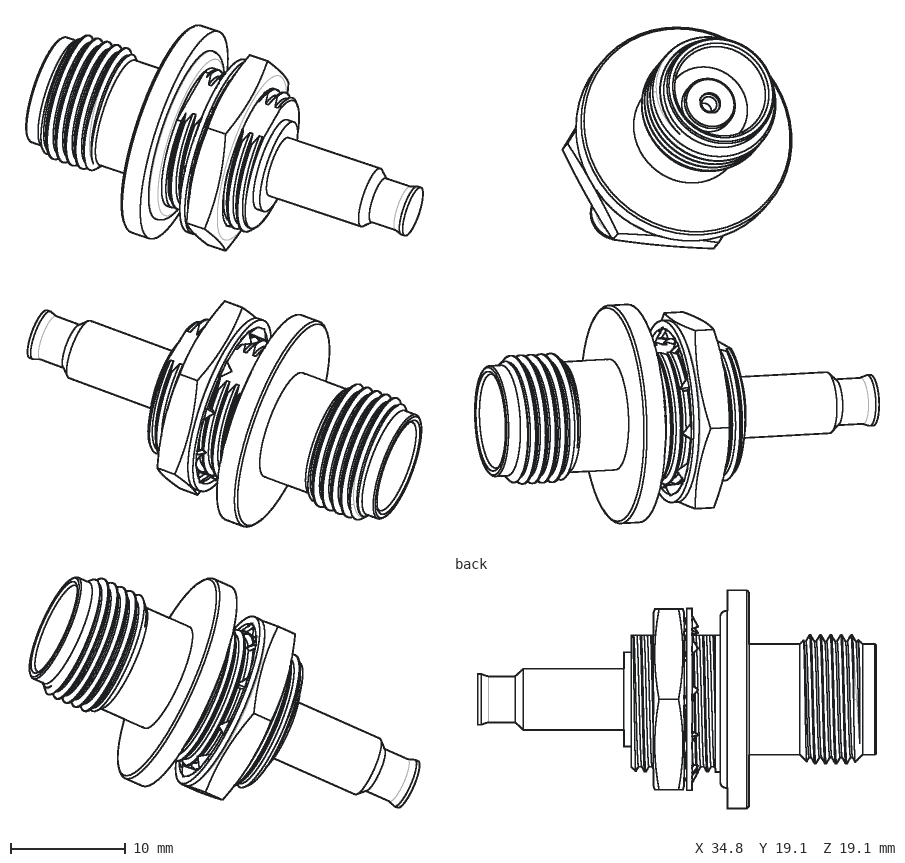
import cadquery as cq
import math


nose_end = 1.2
front_thread_end = 6.67
flange_front = 11.1
flange_rear = 13.0
plain_neck_end = 14.05
rear_thread_end = 21.37
shoulder_end = 22.0
tube_end = 30.75
cone_end = 31.5
flare_start = 33.8
flare_end = 34.45
overall_length = 34.75

barrel_radius = 9.65 / 2
flange_radius = 19.05 / 2
shoulder_radius = 8.25 / 2
tube_radius = 5.35 / 2
stem_radius = 4.03 / 2
flare_radius = 4.45 / 2
nose_chamfer = 0.15
flange_chamfer = 0.2

thread_pitch = 0.9
flank_half_angle = 30.0
crest_flat = 0.1
front_thread_crest = 11.22 / 2
front_thread_root = 5.07
front_thread_crest_at = 1.95
neck_radius = 12.7 / 2
rear_thread_crest = 6.32
rear_thread_root = 5.87
rear_thread_crest_at = 14.95
root_sink = 0.1
trim_clearance = 0.17
rear_flat_height = 5.6

socket_depth = 4.52
socket_floor_radius = 3.65
socket_mouth_radius = 4.1
mouth_chamfer = 0.25

insert_radius = 4.6 / 2
insert_face_radius = 4.3 / 2
insert_projection = 1.05
insert_seat_depth = 4.17
contact_recess_radius = 1.85 / 2
contact_recess_depth = 0.35
contact_hole_radius = 1.35 / 2
contact_hole_depth = 2.1

gasket_thickness = 0.63
gasket_radius = 15.45 / 2
gasket_round = 0.55

washer_front = 16.05
washer_thickness = 0.5
washer_radius = 15.88 / 2
washer_bore_radius = 7.23
tooth_count = 10
tooth_width = 1.88
tooth_thickness = 0.45
tooth_tip_radius = 6.4
tooth_root_radius = 7.33
tooth_twist = 40.0
tooth_first_angle = 2.5

nut_front = 16.75
nut_thickness = 2.68
nut_across_flats = 15.78
nut_bore_radius = rear_thread_crest
nut_chamfer_length = 0.5
nut_face_radius = 7.55


def cylinder(start, end, radius):
    """Cylinder about the X axis from X = start to X = end."""
    return cq.Workplane("YZ", origin=(start, 0, 0)).circle(radius).extrude(end - start)


def revolve_about_x(profile):
    """Solid of revolution of an XY outline about the X axis."""
    return profile.close().revolve(360, (0, 0, 0), (1, 0, 0))


def thread_helix(first_x, turns, radius):
    """Right-handed helix about the X axis that starts on the +Y side at X = first_x."""
    along_z = cq.Wire.makeHelix(thread_pitch, turns * thread_pitch, radius)
    along_x = along_z.rotate(cq.Vector(0, 0, 0), cq.Vector(1, 1, 1), 120)
    return along_x.translate(cq.Vector(first_x, 0, 0))


def thread_ridge(start, end, root_radius, crest_radius, crest_at):
    """Helical ridge reaching past start and end, with a crest at X = crest_at on the +Y side."""
    base_radius = root_radius - root_sink
    crest_half = crest_flat / 2
    base_half = crest_half + (crest_radius - base_radius) * math.tan(math.radians(flank_half_angle))
    first_crest = crest_at - thread_pitch * math.ceil((crest_at - start) / thread_pitch + 0.5)
    turns = math.ceil((end - first_crest) / thread_pitch + 0.5)
    corners = [
        (-base_half, base_radius),
        (-crest_half, crest_radius),
        (crest_half, crest_radius),
        (base_half, base_radius),
    ]
    edges = [thread_helix(first_crest + offset, turns, radius) for offset, radius in corners]
    sides = [
        cq.Face.makeRuledSurface(edge, edges[(index + 1) % len(edges)])
        for index, edge in enumerate(edges)
    ]
    start_outline = cq.Wire.makePolygon([edge.startPoint() for edge in edges], close=True)
    end_outline = cq.Wire.makePolygon([edge.endPoint() for edge in edges], close=True)
    caps = [cq.Face.makeFromWires(start_outline), cq.Face.makeFromWires(end_outline)]
    faces = [face for shape in sides + caps for face in shape.Faces()]
    return cq.Workplane(cq.Solid.makeSolid(cq.Shell.makeShell(faces)))


def threaded_rod(start, end, root_radius, crest_radius, crest_at):
    """Thread on a core that reaches past start and end, to be trimmed to its end shapes."""
    overrun = 3 * thread_pitch
    core = cylinder(start - overrun, end + overrun, root_radius)
    return core.union(thread_ridge(start, end, root_radius, crest_radius, crest_at))


def front_thread():
    """Coupling thread, sloping at 45 degrees to the barrel at both ends."""
    rise = front_thread_crest + trim_clearance - barrel_radius
    envelope = revolve_about_x(
        cq.Workplane("XY")
        .moveTo(nose_end, 0)
        .lineTo(nose_end, barrel_radius)
        .lineTo(nose_end + rise, barrel_radius + rise)
        .lineTo(front_thread_end - rise, barrel_radius + rise)
        .lineTo(front_thread_end, barrel_radius)
        .lineTo(front_thread_end, 0)
    )
    rod = threaded_rod(
        nose_end, front_thread_end, front_thread_root, front_thread_crest, front_thread_crest_at
    )
    return rod.intersect(envelope)


def rear_thread():
    """Panel thread behind the flange, with a plain neck, an end chamfer and a flat on its +Z side."""
    rise = rear_thread_crest + trim_clearance - rear_thread_root
    envelope = revolve_about_x(
        cq.Workplane("XY")
        .moveTo(plain_neck_end, 0)
        .lineTo(plain_neck_end, rear_thread_root + rise)
        .lineTo(rear_thread_end - rise, rear_thread_root + rise)
        .lineTo(rear_thread_end, rear_thread_root)
        .lineTo(rear_thread_end, 0)
    )
    rod = threaded_rod(
        plain_neck_end, rear_thread_end, rear_thread_root, rear_thread_crest, rear_thread_crest_at
    )
    neck = cylinder(flange_rear, plain_neck_end, neck_radius)
    flat_start = flange_rear + gasket_thickness
    above_flat = cq.Workplane("XY").box(
        rear_thread_end - flat_start, flange_radius, flange_radius, centered=(False, True, False)
    ).translate((flat_start, 0, rear_flat_height))
    return rod.intersect(envelope).union(neck).cut(above_flat)


def socket_cavity():
    """Tapered mating socket and the seat of the insert in its floor."""
    seat_end = socket_depth + insert_seat_depth
    return revolve_about_x(
        cq.Workplane("XY")
        .moveTo(0, 0)
        .lineTo(0, socket_mouth_radius + mouth_chamfer)
        .lineTo(mouth_chamfer, socket_mouth_radius)
        .lineTo(socket_depth, socket_floor_radius)
        .lineTo(socket_depth, insert_radius)
        .lineTo(seat_end, insert_radius)
        .lineTo(seat_end, 0)
    )


def tail():
    """Rear shoulder, crimp tube and the stem with its flared end."""
    return revolve_about_x(
        cq.Workplane("XY")
        .moveTo(rear_thread_end, 0)
        .lineTo(rear_thread_end, shoulder_radius)
        .lineTo(shoulder_end, shoulder_radius)
        .lineTo(shoulder_end, tube_radius)
        .lineTo(tube_end, tube_radius)
        .lineTo(cone_end, stem_radius)
        .lineTo(flare_start, stem_radius)
        .lineTo(flare_end, flare_radius)
        .lineTo(overall_length, flare_radius)
        .lineTo(overall_length, 0)
    )


def make_shell():
    nose = cylinder(0, nose_end, barrel_radius).faces("<X").chamfer(nose_chamfer)
    barrel = cylinder(front_thread_end, flange_front, barrel_radius)
    flange = cylinder(flange_front, flange_rear, flange_radius).faces("<X").chamfer(flange_chamfer)
    shell = nose
    for section in (front_thread(), barrel, flange, rear_thread(), tail()):
        shell = shell.union(section)
    return shell.cut(socket_cavity())


def make_insert():
    """Chamfered dielectric core with a stepped blind hole for the contact."""
    front = socket_depth - insert_projection
    rim_chamfer = insert_radius - insert_face_radius
    core = cylinder(front, socket_depth + insert_seat_depth, insert_radius)
    core = core.faces("<X").chamfer(rim_chamfer)
    recess = cylinder(front, front + contact_recess_depth, contact_recess_radius)
    hole = cylinder(front, front + contact_hole_depth, contact_hole_radius)
    return core.cut(recess).cut(hole)


def make_gasket():
    """Flat ring on the plain neck, its outer rear edge rounded."""
    rear = flange_rear + gasket_thickness
    ring = cylinder(flange_rear, rear, gasket_radius).faces(">X").edges().fillet(gasket_round)
    return ring.cut(cylinder(flange_rear, rear, neck_radius))


def washer_tooth():
    """Tooth on the +Y side that twists about its radial axis towards the tip."""
    middle = washer_front + washer_thickness / 2
    outward = cq.Plane(origin=(middle, tooth_root_radius, 0), xDir=(0, 0, 1), normal=(0, -1, 0))
    blade = (
        cq.Workplane(outward)
        .rect(tooth_width, tooth_thickness)
        .workplane(offset=tooth_root_radius - tooth_tip_radius)
        .transformed(rotate=(0, 0, tooth_twist))
        .rect(tooth_width, tooth_thickness)
        .loft(ruled=True)
    )
    return blade.cut(cylinder(nut_front, nut_front + nut_thickness, flange_radius))


def make_washer():
    washer = cylinder(washer_front, washer_front + washer_thickness, washer_radius).cut(
        cylinder(washer_front, washer_front + washer_thickness, washer_bore_radius)
    )
    tooth = washer_tooth()
    for index in range(tooth_count):
        angle = tooth_first_angle + index * 360 / tooth_count
        washer = washer.union(tooth.rotate((0, 0, 0), (1, 0, 0), angle))
    return washer


def make_nut():
    """Hexagon nut with flats facing +Z and -Z, its corners chamfered on both faces."""
    corner_radius = nut_across_flats / math.sqrt(3)
    rear = nut_front + nut_thickness
    hexagon = (
        cq.Workplane("YZ", origin=(nut_front, 0, 0))
        .polygon(6, 2 * corner_radius)
        .extrude(nut_thickness)
    )
    chamfer_envelope = revolve_about_x(
        cq.Workplane("XY")
        .moveTo(nut_front, 0)
        .lineTo(nut_front, nut_face_radius)
        .lineTo(nut_front + nut_chamfer_length, corner_radius)
        .lineTo(rear - nut_chamfer_length, corner_radius)
        .lineTo(rear, nut_face_radius)
        .lineTo(rear, 0)
    )
    return hexagon.intersect(chamfer_envelope).cut(cylinder(nut_front, rear, nut_bore_radius))


shell = make_shell()
insert = make_insert()
gasket = make_gasket()
washer = make_washer()
nut = make_nut()

result = cq.Compound.makeCompound(
    [body.solids().val() for body in (shell, insert, gasket, washer, nut)]
)